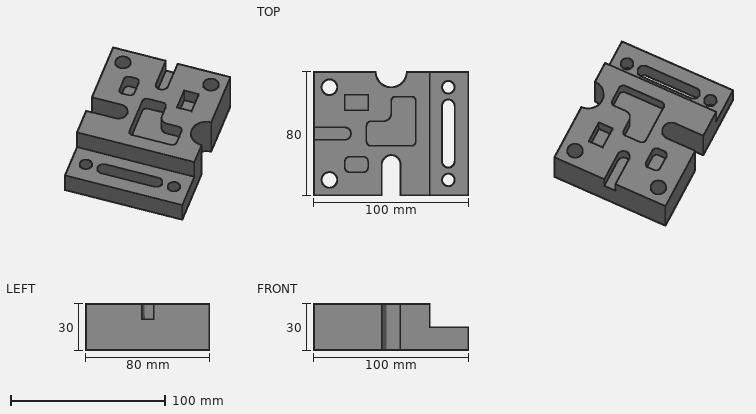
import cadquery as cq

length = 100.0
width = 80.0
height = 30.0
ledge_start = 75.0
ledge_height = 15.0
mid_x = length / 2
mid_y = width / 2

hole_edge_distance = 10.0
mount_hole_x = 10.0
mount_hole_diameter = 10.0
ledge_hole_x = 87.0
ledge_hole_diameter = 8.0
ledge_slot_length = 44.0

back_notch_radius = 10.0
front_slot_width = 12.0
front_slot_depth = 26.0
side_slot_width = 8.0
side_slot_length = 24.0

pocket_depth = 10.0
small_pocket_length = 15.0
small_pocket_width = 10.0
small_pocket_x = 27.5
square_pocket_y = 60.0
rounded_pocket_y = 20.0
corner_radius = 3.0
l_pocket_size = 32.0
l_pocket_arm = l_pocket_size / 2
l_pocket_left = 34.0
l_pocket_bottom = 32.0
l_inner_radius = 5.0


def make_block():
    return (
        cq.Workplane("XZ")
        .moveTo(0, 0)
        .lineTo(length, 0)
        .lineTo(length, ledge_height)
        .lineTo(ledge_start, ledge_height)
        .lineTo(ledge_start, height)
        .lineTo(0, height)
        .close()
        .extrude(-width)
    )


def cylinder(x, y, diameter):
    return cq.Workplane("XY").center(x, y).circle(diameter / 2).extrude(height)


def box_pocket(x, y):
    floor = cq.Workplane("XY").workplane(offset=height - pocket_depth)
    return floor.center(x, y).rect(small_pocket_length, small_pocket_width).extrude(pocket_depth)


def ledge_slot():
    return (
        cq.Workplane("XY")
        .center(ledge_hole_x, mid_y)
        .slot2D(ledge_slot_length, ledge_hole_diameter, 90)
        .extrude(height)
    )


def front_slot():
    return (
        cq.Workplane("XY")
        .center(mid_x, 0)
        .slot2D(2 * front_slot_depth, front_slot_width, 90)
        .extrude(height)
    )


def side_slot():
    return (
        cq.Workplane("XY")
        .workplane(offset=height - pocket_depth)
        .center(0, mid_y)
        .slot2D(2 * side_slot_length, side_slot_width)
        .extrude(pocket_depth)
    )


def l_pocket():
    right = l_pocket_left + l_pocket_size
    top = l_pocket_bottom + l_pocket_size
    inner_x = right - l_pocket_arm
    inner_y = l_pocket_bottom + l_pocket_arm
    pocket = (
        cq.Workplane("XY")
        .workplane(offset=height - pocket_depth)
        .moveTo(l_pocket_left, l_pocket_bottom)
        .lineTo(right, l_pocket_bottom)
        .lineTo(right, top)
        .lineTo(inner_x, top)
        .lineTo(inner_x, inner_y)
        .lineTo(l_pocket_left, inner_y)
        .close()
        .extrude(pocket_depth)
    )
    inner_edge = cq.selectors.NearestToPointSelector((inner_x, inner_y, height - pocket_depth / 2))
    pocket = pocket.edges(inner_edge).fillet(l_inner_radius)
    outer_corners = [
        (l_pocket_left, l_pocket_bottom),
        (right, l_pocket_bottom),
        (right, top),
        (inner_x, top),
        (l_pocket_left, inner_y),
    ]
    for x, y in outer_corners:
        corner = cq.selectors.NearestToPointSelector((x, y, height - pocket_depth / 2))
        pocket = pocket.edges(corner).fillet(corner_radius)
    return pocket


result = make_block()
for hole_y in (hole_edge_distance, width - hole_edge_distance):
    result = result.cut(cylinder(mount_hole_x, hole_y, mount_hole_diameter))
    result = result.cut(cylinder(ledge_hole_x, hole_y, ledge_hole_diameter))
result = result.cut(ledge_slot())
result = result.cut(cylinder(mid_x, width, 2 * back_notch_radius))
result = result.cut(front_slot())
result = result.cut(side_slot())
result = result.cut(box_pocket(small_pocket_x, square_pocket_y))
result = result.cut(box_pocket(small_pocket_x, rounded_pocket_y).edges("|Z").fillet(corner_radius))
result = result.cut(l_pocket())